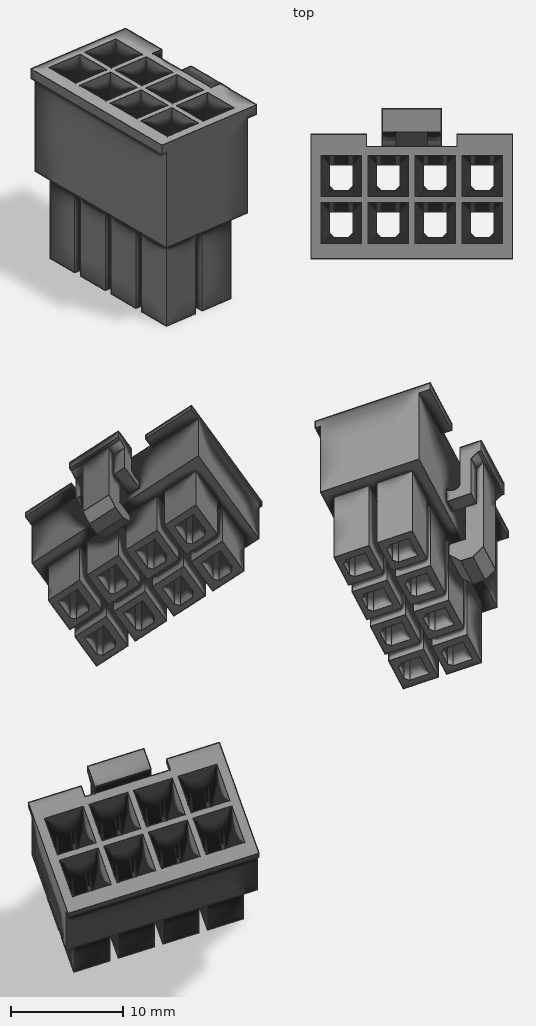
import cadquery as cq
import math

total_height = 19.6
housing_width = 18.0
housing_depth = 9.55
leg_length = 8.85

flange_thickness = 0.98
flange_front_overhang = 0.5
flange_back_overhang = 1.08
flange_notch_width = 8.04

columns = 4
rows = 2
pitch = 4.2
cell_size = 3.65
front_cell_wall = 0.88
leg_size = 3.4
leg_setback = 0.88

mouth_depth = 5.49
funnel_taper = math.radians(12.5)
funnel_inset = 0.78
funnel_front_inset = 0.5
passage_back_inset = 0.86
passage_corner = 0.4

latch_width = 5.3
lever_width = 2.82
latch_back = housing_depth + flange_back_overhang + 2.27
lever_inner = 10.84
lever_outer = 12.58
pivot_outer = 11.92
latch_top = 17.64
thumb_pad_height = 1.53
thumb_pad_undercut = lever_outer - pivot_outer
pivot_bottom = 10.3
slot_bottom = 11.66
hook_inner = 9.27
hook_top = 5.6
hook_bottom = 2.6
hook_inner_chamfer_width = 1.12
hook_inner_chamfer_height = 1.45
hook_outer_chamfer = 1.0

passage_width = cell_size - 2 * funnel_inset
passage_depth = cell_size - passage_back_inset - funnel_front_inset
funnel_top = total_height - mouth_depth
funnel_height = funnel_inset / math.tan(funnel_taper)
ledge_z = funnel_top - funnel_height

cell_places = [((i - (columns - 1) / 2) * pitch, j * pitch) for i in range(columns) for j in range(rows)]


def block(width, y_min, y_max, z_min, z_max, x_centre=0.0):
    """Box centred on x_centre, spanning the given Y and Z limits."""
    base = cq.Workplane("XY", origin=(x_centre, y_min, z_min))
    return base.box(width, y_max - y_min, z_max - z_min, centered=(True, False, False))


def plate(profile, width):
    """Extrude a closed YZ profile symmetrically about X = 0."""
    return profile.close().extrude(width / 2, both=True)


def make_shell():
    flange_bottom = total_height - flange_thickness
    flange_back = housing_depth + flange_back_overhang
    body = block(housing_width, 0, housing_depth, leg_length, total_height)
    flange = block(housing_width, -flange_front_overhang, flange_back, flange_bottom, total_height)
    notch = block(flange_notch_width, housing_depth, flange_back, flange_bottom, total_height)
    return body.union(flange.cut(notch))


def make_funnel(x_centre, front, back):
    """Tapered throat; its front wall stays upright until it meets the taper lower down."""
    front_shift = funnel_inset - funnel_front_inset
    taper = (
        cq.Workplane("XY")
        .workplane(offset=funnel_top)
        .center(x_centre, (front + back) / 2 - front_shift / 2)
        .rect(cell_size, cell_size + front_shift)
        .workplane(offset=-funnel_height)
        .rect(passage_width, passage_width + front_shift)
        .loft()
    )
    return taper.intersect(block(cell_size, front, back, ledge_z, funnel_top, x_centre))


def make_cell(x_centre, front):
    back = front + cell_size
    mouth = block(cell_size, front, back, funnel_top, total_height, x_centre)

    slot_offset = (passage_width - passage_corner) / 2
    slots = [
        block(passage_corner, back - passage_back_inset, back, ledge_z, funnel_top, slot_x)
        for slot_x in (x_centre - slot_offset, x_centre + slot_offset)
    ]

    passage_front = front + funnel_front_inset
    passage = block(passage_width, passage_front, passage_front + passage_depth, 0, ledge_z, x_centre)
    passage = passage.faces("<Y").edges("|Z").chamfer(passage_corner)

    cell = mouth.union(make_funnel(x_centre, front, back)).union(passage)
    for slot in slots:
        cell = cell.union(slot)
    return cell


def make_leg(x_centre, front):
    return block(leg_size, front, front + leg_size, 0, leg_length, x_centre)


def make_latch():
    pad_bottom = latch_top - thumb_pad_height
    slot_radius = (lever_inner - housing_depth) / 2
    slot_centre_z = slot_bottom + slot_radius

    arm = plate(
        cq.Workplane("YZ")
        .moveTo(lever_inner, latch_top)
        .lineTo(latch_back, latch_top)
        .lineTo(latch_back, pad_bottom)
        .lineTo(lever_outer, pad_bottom)
        .lineTo(pivot_outer, pad_bottom - thumb_pad_undercut)
        .lineTo(pivot_outer, pivot_bottom)
        .lineTo(housing_depth, pivot_bottom)
        .lineTo(housing_depth, slot_centre_z)
        .threePointArc((housing_depth + slot_radius, slot_bottom), (lever_inner, slot_centre_z)),
        latch_width,
    )
    window = block(lever_width, housing_depth, lever_inner, pivot_bottom, slot_centre_z)

    lever = plate(
        cq.Workplane("YZ")
        .moveTo(lever_inner, pad_bottom)
        .lineTo(lever_outer, pad_bottom)
        .lineTo(lever_outer, hook_bottom + hook_outer_chamfer)
        .lineTo(lever_outer - hook_outer_chamfer, hook_bottom)
        .lineTo(hook_inner + hook_inner_chamfer_width, hook_bottom)
        .lineTo(hook_inner, hook_bottom + hook_inner_chamfer_height)
        .lineTo(hook_inner, hook_top)
        .lineTo(lever_inner, hook_top),
        lever_width,
    )
    return arm.cut(window).union(lever)


result = make_shell().union(make_latch())
for x_centre, row_offset in cell_places:
    result = result.union(make_leg(x_centre, leg_setback + row_offset))
    result = result.cut(make_cell(x_centre, front_cell_wall + row_offset))